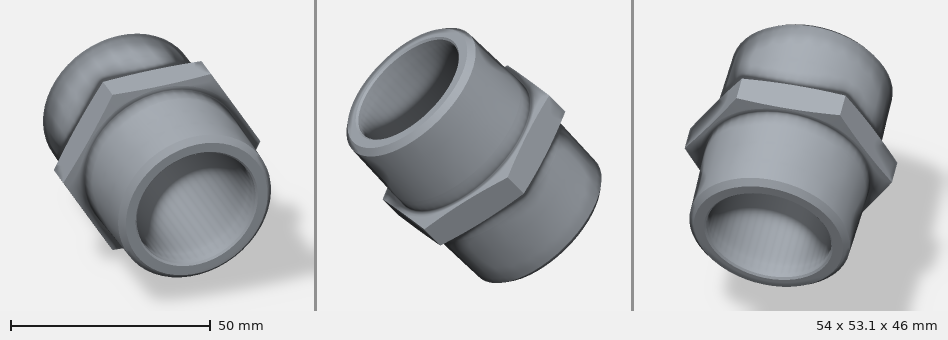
import cadquery as cq
import math

length = 54.0
across_flats = 46.0
bore_diameter = 32.0
bore_chamfer = 0.5

collar_diameter = 42.35
taper_start = 8.0
taper_ratio = 1 / 16
tip_chamfer = 1.5

hex_thickness = 8.0
hex_ring_diameter = 44.8
hex_bevel_angle = 10.0
root_fillet = 0.25

half_length = length / 2
half_hex = hex_thickness / 2
collar_radius = collar_diameter / 2
bore_radius = bore_diameter / 2
ring_radius = hex_ring_diameter / 2
corner_radius = across_flats / math.sqrt(3)


def revolve_about_x(profile):
    """Turn an XZ profile one full turn about the X axis."""
    return profile.close().revolve(360, (0, 0, 0), (1, 0, 0))


def make_threaded_end():
    """Solid end on the +X side, from the mid plane to the tip."""
    taper_end = half_length - tip_chamfer
    taper_end_radius = collar_radius - (taper_end - taper_start) * taper_ratio / 2
    fillet_end = half_hex + root_fillet
    fillet_top = collar_radius + root_fillet
    arc_offset = root_fillet * math.sqrt(0.5)
    fillet_middle = (fillet_end - arc_offset, fillet_top - arc_offset)
    return revolve_about_x(
        cq.Workplane("XZ")
        .lineTo(0, fillet_top)
        .lineTo(half_hex, fillet_top)
        .threePointArc(fillet_middle, (fillet_end, collar_radius))
        .lineTo(taper_start, collar_radius)
        .lineTo(taper_end, taper_end_radius)
        .lineTo(half_length, taper_end_radius - tip_chamfer)
        .lineTo(half_length, 0)
    )


def make_hexagon():
    """Hexagon with flats facing +Z and -Z, trimmed by a cone on each face."""
    prism = (
        cq.Workplane("YZ")
        .polygon(6, 2 * corner_radius)
        .extrude(half_hex, both=True)
    )
    bevel_depth = (corner_radius - ring_radius) * math.tan(math.radians(hex_bevel_angle))
    corner_half_width = half_hex - bevel_depth
    envelope = revolve_about_x(
        cq.Workplane("XZ")
        .moveTo(-half_hex, 0)
        .lineTo(-half_hex, ring_radius)
        .lineTo(-corner_half_width, corner_radius)
        .lineTo(corner_half_width, corner_radius)
        .lineTo(half_hex, ring_radius)
        .lineTo(half_hex, 0)
    )
    return prism.intersect(envelope)


def make_bore():
    """Through bore, widened by a chamfer at both mouths."""
    mouth_radius = bore_radius + bore_chamfer
    chamfer_start = half_length - bore_chamfer
    return revolve_about_x(
        cq.Workplane("XZ")
        .moveTo(-half_length, 0)
        .lineTo(-half_length, mouth_radius)
        .lineTo(-chamfer_start, bore_radius)
        .lineTo(chamfer_start, bore_radius)
        .lineTo(half_length, mouth_radius)
        .lineTo(half_length, 0)
    )


threaded_end = make_threaded_end()
result = (
    make_hexagon()
    .union(threaded_end)
    .union(threaded_end.mirror("YZ"))
    .cut(make_bore())
)